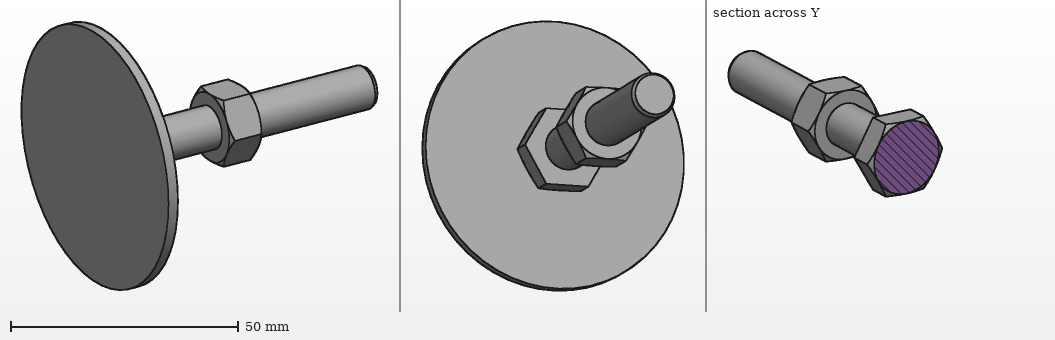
import cadquery as cq
import math

total_length = 71.0
plate_thickness = 2.5
head_start = 5.0
head_end = 11.0
nut_start = 29.95
nut_length = 8.4

plate_diameter = 60.0
neck_base_diameter = 9.5
neck_top_diameter = 5.4

stud_diameter = 10.0
tip_chamfer_length = 1.0
tip_chamfer_depth = 0.6

head_across_flats = 17.0
nut_across_flats = 16.0
corner_chamfer_angle = 30.0


def revolve_about_y(profile):
    """Revolve a closed list of (radius, y) points about the Y axis."""
    return cq.Workplane("XY").polyline(profile).close().revolve(360, (0, 0, 0), (0, 1, 0))


def hexagon(across_flats, start, end, chamfer_start, chamfer_end):
    """Hexagonal prism with corners on X and conical corner chamfers on chosen ends."""
    flat_radius = across_flats / 2
    corner_radius = flat_radius / math.cos(math.radians(30))
    drop = (corner_radius - flat_radius) * math.tan(math.radians(corner_chamfer_angle))

    prism = (
        cq.Workplane("XZ", origin=(0, start, 0))
        .polygon(6, 2 * corner_radius)
        .extrude(start - end)
    )
    envelope = [(0, start)]
    if chamfer_start:
        envelope += [(flat_radius, start), (corner_radius, start + drop)]
    else:
        envelope += [(corner_radius, start)]
    if chamfer_end:
        envelope += [(corner_radius, end - drop), (flat_radius, end)]
    else:
        envelope += [(corner_radius, end)]
    envelope += [(0, end)]
    return prism.intersect(revolve_about_y(envelope))


def make_foot():
    """Round plate with a conical neck that carries the stud head."""
    return revolve_about_y([
        (0, 0),
        (plate_diameter / 2, 0),
        (plate_diameter / 2, plate_thickness),
        (neck_base_diameter / 2, plate_thickness),
        (neck_top_diameter / 2, head_start),
        (0, head_start),
    ])


def make_stud():
    """Hexagonal head and plain rod with a chamfered tip."""
    stud_radius = stud_diameter / 2
    rod = revolve_about_y([
        (0, head_start),
        (stud_radius, head_start),
        (stud_radius, total_length - tip_chamfer_length),
        (stud_radius - tip_chamfer_depth, total_length),
        (0, total_length),
    ])
    head = hexagon(head_across_flats, head_start, head_end, chamfer_start=True, chamfer_end=False)
    return head.union(rod)


def make_nut():
    """Lock nut whose bore fits the stud, chamfered on both ends."""
    nut_end = nut_start + nut_length
    body = hexagon(nut_across_flats, nut_start, nut_end, chamfer_start=True, chamfer_end=True)
    bore = (
        cq.Workplane("XZ", origin=(0, nut_start, 0))
        .circle(stud_diameter / 2)
        .extrude(-nut_length)
    )
    return body.cut(bore)


foot = make_foot()
stud = make_stud()
nut = make_nut()

result = cq.Compound.makeCompound([foot.val(), stud.val(), nut.val()])